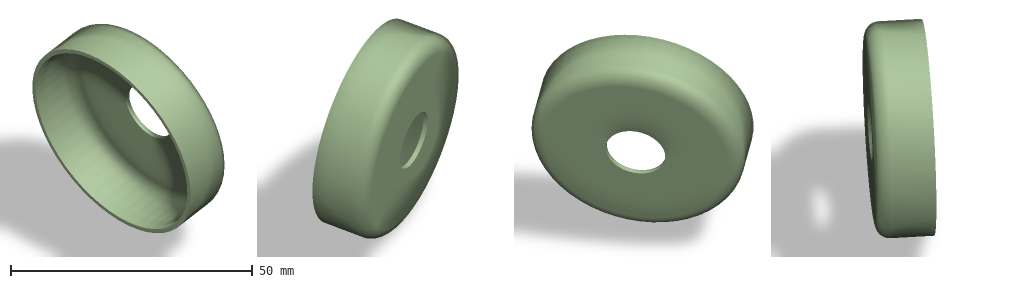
import cadquery as cq

outer_diameter = 45.0
height = 12.0
wall = 1.0
outer_edge_radius = 3.0
hole_diameter = 12.5

outer_radius = outer_diameter / 2
inner_radius = outer_radius - wall
inner_edge_radius = outer_edge_radius - wall
cavity_depth = height - wall


def rounded_disc(radius, depth, edge_radius):
    """Disc from the rim plane (Y = 0) towards +Y, with its far edge rounded."""
    disc = cq.Workplane("XZ").circle(radius).extrude(-depth)
    return disc.faces(">Y").edges().fillet(edge_radius)


def centre_hole():
    """Round hole through the floor of the cap."""
    return cq.Workplane("XZ").circle(hole_diameter / 2).extrude(-height)


cap = rounded_disc(outer_radius, height, outer_edge_radius)
cavity = rounded_disc(inner_radius, cavity_depth, inner_edge_radius)

result = cap.cut(cavity).cut(centre_hole())